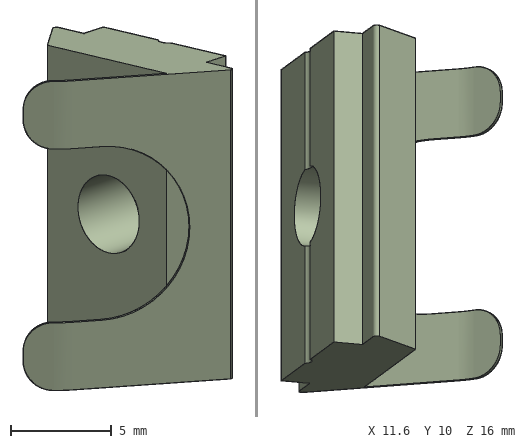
import cadquery as cq
import math

length = 16.0
half_width = 5.8
neck_half_width = 4.0
body_depth = 4.3
shoulder_y = 2.8
flank_angle = math.radians(54.5)
shoulder_fillet = 0.2
hole_diameter = 4.0
groove_radius = 0.5
groove_depth = 0.2

total_depth = 10.0
leaf_thickness = 0.2
tip_angle = math.radians(38.5)
bend_start_x = 1.09
bend_outer_radius = 3.2
leg_width = 3.5
leg_tip_radius = 1.5
window_tangent_x = 1.98

flank_top_y = (half_width - neck_half_width) * math.tan(flank_angle)
leaf_tip_y = body_depth - total_depth


def flank_y(x):
    """Y of the outer face of the +X flank, or of its extension, at x."""
    return (x - neck_half_width) * math.tan(flank_angle)


def inner_point(outer_point, angle):
    """Point one leaf thickness inside the outer face sloping at angle."""
    x, y = outer_point
    return (x - leaf_thickness * math.sin(angle), y + leaf_thickness * math.cos(angle))


def make_body():
    outline = [
        (-neck_half_width, 0),
        (neck_half_width, 0),
        (half_width, flank_top_y),
        (half_width, shoulder_y),
        (neck_half_width, shoulder_y),
        (neck_half_width, body_depth),
        (-neck_half_width, body_depth),
        (-neck_half_width, shoulder_y),
        (-half_width, shoulder_y),
        (-half_width, flank_top_y),
    ]
    body = cq.Workplane("XY").polyline(outline).close().extrude(length / 2, both=True)
    outer_corners = body.faces("<X or >X").edges("|Z").edges(">Y")
    body = outer_corners.fillet(shoulder_fillet)

    groove_y = body_depth - groove_depth + groove_radius
    groove = cq.Workplane("XY").center(0, groove_y).circle(groove_radius)
    return body.cut(groove.extrude(length / 2, both=True))


def make_leaf():
    """Full-length bent strip whose outer face continues the flank."""
    top = (half_width, flank_top_y)
    bend_start = (bend_start_x, flank_y(bend_start_x))
    center_x = bend_start[0] - bend_outer_radius * math.sin(flank_angle)
    center_y = bend_start[1] + bend_outer_radius * math.cos(flank_angle)

    def bend_point(angle):
        return (
            center_x + bend_outer_radius * math.sin(angle),
            center_y - bend_outer_radius * math.cos(angle),
        )

    bend_middle_angle = (flank_angle + tip_angle) / 2
    bend_middle = bend_point(bend_middle_angle)
    bend_end = bend_point(tip_angle)
    tip = (bend_end[0] - (bend_end[1] - leaf_tip_y) / math.tan(tip_angle), leaf_tip_y)

    return (
        cq.Workplane("XY")
        .moveTo(*top)
        .lineTo(*bend_start)
        .threePointArc(bend_middle, bend_end)
        .lineTo(*tip)
        .lineTo(*inner_point(tip, tip_angle))
        .lineTo(*inner_point(bend_end, tip_angle))
        .threePointArc(inner_point(bend_middle, bend_middle_angle), inner_point(bend_start, flank_angle))
        .lineTo(*inner_point(top, flank_angle))
        .close()
        .extrude(length / 2, both=True)
    )


def make_window():
    """Round-ended slot, square to the flank, that splits the leaf into two legs."""
    radius = length / 2 - leg_width
    flank_plane = cq.Plane(
        origin=(window_tangent_x, flank_y(window_tangent_x), 0),
        xDir=(math.cos(flank_angle), math.sin(flank_angle), 0),
        normal=(math.sin(flank_angle), -math.cos(flank_angle), 0),
    )
    return (
        cq.Workplane(flank_plane)
        .moveTo(-length, -radius)
        .lineTo(0, -radius)
        .threePointArc((radius, 0), (0, radius))
        .lineTo(-length, radius)
        .close()
        .extrude(length, both=True)
    )


def make_legs(leaf, window):
    """The two spring legs, with all four corners of their tips rounded."""
    legs = leaf.cut(window)
    tip_x = legs.val().BoundingBox().xmin
    tip_corners = cq.selectors.BoxSelector(
        (tip_x, leaf_tip_y, -length),
        (tip_x + leaf_thickness, leaf_tip_y + leaf_thickness, length),
    )
    return legs.edges("#Z").edges(tip_corners).fillet(leg_tip_radius)


leaf = make_leaf()
window = make_window()
legs = make_legs(leaf, window)
hole = cq.Workplane("XZ").circle(hole_diameter / 2).extrude(-body_depth)

recess = leaf.intersect(window)
result = make_body().cut(recess).union(legs).cut(hole)